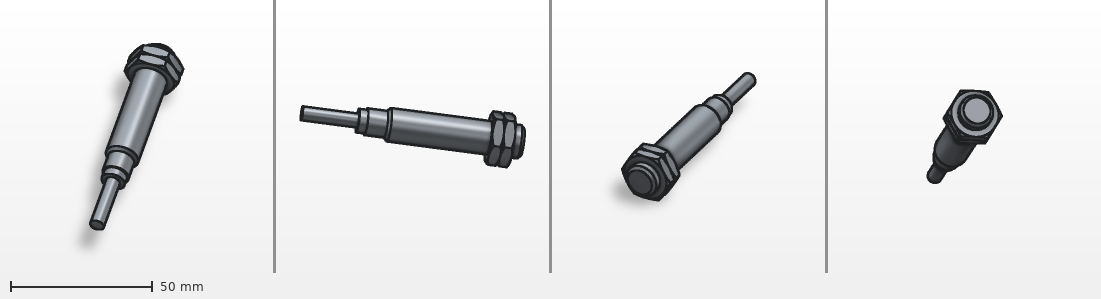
import cadquery as cq
import math

total_length = 79.0
barrel_length = 49.0
sleeve_end = 56.0
collar_end = 59.0

barrel_radius = 6.0
sleeve_radius = 4.8
collar_radius = 4.3
cable_radius = 2.5
barrel_chamfer = 1.2

nut_count = 2
nut_sides = 6
nut_across_flats = 17.0
nut_thickness = 4.0
first_nut_start = 3.95
nut_chamfer_angle = 30.0
nut_across_corners = nut_across_flats / math.cos(math.pi / nut_sides)


def cylinder(radius, start, end):
    """Solid cylinder on the Y axis between two stations."""
    return (
        cq.Workplane("XZ", origin=(0, -start, 0))
        .circle(radius)
        .extrude(end - start)
    )


def make_sensor():
    """Chamfered barrel with a stepped cable outlet and the cable, as one body."""
    barrel = cylinder(barrel_radius, 0, barrel_length).edges("%CIRCLE").chamfer(barrel_chamfer)
    sleeve = cylinder(sleeve_radius, barrel_length, sleeve_end)
    collar = cylinder(collar_radius, sleeve_end, collar_end)
    cable = cylinder(cable_radius, collar_end, total_length)
    return barrel.union(sleeve).union(collar).union(cable)


def make_nut(start):
    """Hexagonal nut with both faces cone-chamfered and a bore that fits the barrel."""
    end = start + nut_thickness
    flat_radius = nut_across_flats / 2
    corner_radius = nut_across_corners / 2
    corner_drop = (corner_radius - flat_radius) * math.tan(math.radians(nut_chamfer_angle))
    hexagon = (
        cq.Workplane("XZ", origin=(0, -start, 0))
        .polygon(nut_sides, nut_across_corners)
        .extrude(nut_thickness)
    )
    chamfer_envelope = (
        cq.Workplane("XY")
        .moveTo(0, -start)
        .lineTo(flat_radius, -start)
        .lineTo(corner_radius, -start - corner_drop)
        .lineTo(corner_radius, -end + corner_drop)
        .lineTo(flat_radius, -end)
        .lineTo(0, -end)
        .close()
        .revolve(360, (0, 0, 0), (0, 1, 0))
    )
    bore = cylinder(barrel_radius, start, end)
    return hexagon.intersect(chamfer_envelope).cut(bore)


sensor = make_sensor()
nuts = [make_nut(first_nut_start + index * nut_thickness) for index in range(nut_count)]

result = cq.Compound.makeCompound([sensor.val(), *[nut.val() for nut in nuts]])